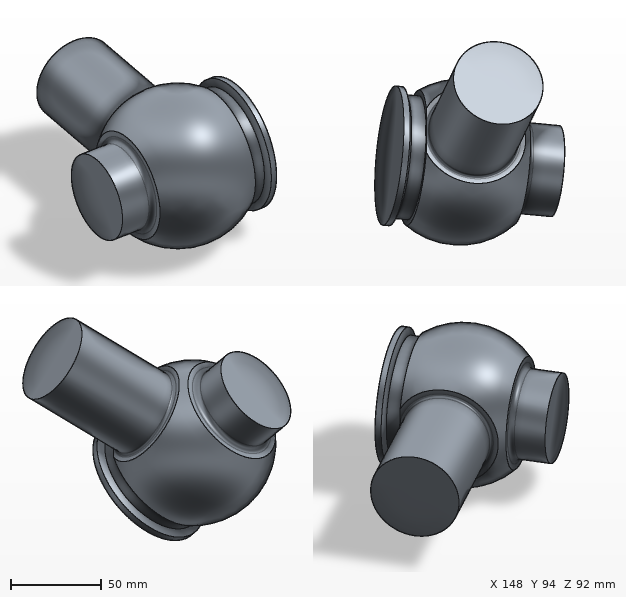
import cadquery as cq
import math

body_radius = 46.0
inlet_face = 35.1
branch_face = 33.3
flange_face = 26.5

overall_length = 148.0
overall_width = 94.0
pipe_diameter = 50.8
pipe_radius = pipe_diameter / 2
inlet_end = overall_length - body_radius
inlet_fillet = 1.6
branch_fillet = 3.1

flange_end = 40.0
branch_end = overall_width - flange_end
neck_radius = 34.5
flange_radius = 38.8
rim_thickness = 3.5
taper_length = 1.8


def revolve_about_y(profile):
    return profile.close().revolve(360, (0, 0, 0), (0, 1, 0))


def flat_radius(face):
    """Radius of the circle where a flat at this distance cuts the sphere."""
    return math.sqrt(body_radius**2 - face**2)


def make_body():
    """Sphere with a flat where each of the three ports joins it."""
    ball = revolve_about_y(
        cq.Workplane("XY")
        .moveTo(0, -branch_face)
        .lineTo(flat_radius(branch_face), -branch_face)
        .threePointArc((body_radius, 0), (flat_radius(flange_face), flange_face))
        .lineTo(0, flange_face)
    )
    cutter_size = 2 * body_radius
    inlet_cutter = cq.Workplane("XY").box(cutter_size, cutter_size, cutter_size)
    return ball.cut(inlet_cutter.translate((-inlet_face - cutter_size / 2, 0, 0)))


def make_pipe(face, end, fillet):
    """Solid stub along +Y, rising from its flat with a fillet at the root."""
    return revolve_about_y(
        cq.Workplane("XY")
        .moveTo(0, face)
        .lineTo(pipe_radius + fillet, face)
        .radiusArc((pipe_radius, face + fillet), fillet)
        .lineTo(pipe_radius, end)
        .lineTo(0, end)
    )


def make_flanged_port():
    """Neck along +Y ending in a rim with a tapered back."""
    rim_start = flange_end - rim_thickness
    return revolve_about_y(
        cq.Workplane("XY")
        .moveTo(0, flange_face)
        .lineTo(neck_radius, flange_face)
        .lineTo(neck_radius, rim_start - taper_length)
        .lineTo(flange_radius, rim_start)
        .lineTo(flange_radius, flange_end)
        .lineTo(0, flange_end)
    )


def turn_about_z(port, angle):
    return port.rotate((0, 0, 0), (0, 0, 1), angle)


inlet = turn_about_z(make_pipe(inlet_face, inlet_end, inlet_fillet), 90)
branch = turn_about_z(make_pipe(branch_face, branch_end, branch_fillet), 180)

result = make_body().union(inlet).union(branch).union(make_flanged_port())